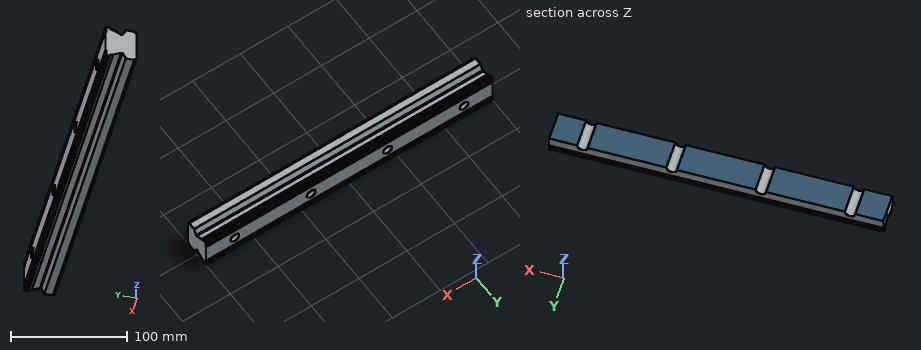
import cadquery as cq

length = 300.0
depth = 27.5
height = 34.0
half_depth = depth / 2
half_height = height / 2

front_chamfer = 2.0
back_chamfer_run = 1.8
back_chamfer_drop = 1.2

groove_start = 4.0
shoulder_inset = 7.0
shoulder_depth = 2.0
arc_mid_inset = 4.8
arc_mid_depth = 1.5
groove_floor_inset = 14.0
groove_floor_width = 1.0
groove_depth = 6.0
groove_end = 18.0

slot_offset = 2.0
slot_width = 3.5
slot_depth = 1.0

hole_count = 4
hole_diameter = 9.0
end_distance = 30.0
hole_pitch = (length - 2 * end_distance) / (hole_count - 1)


def at(inset, drop):
    """Section point, measured in from the back face and down from the top."""
    return (half_depth - inset, half_height - drop)


def make_rail():
    """Extrude the upper half section and mirror it about mid-height."""
    upper_half = (
        cq.Workplane("YZ", origin=(-length / 2, 0, 0))
        .moveTo(*at(0, half_height))
        .lineTo(*at(0, slot_offset + slot_width))
        .lineTo(*at(slot_depth, slot_offset + slot_width))
        .lineTo(*at(slot_depth, slot_offset))
        .lineTo(*at(0, slot_offset))
        .lineTo(*at(0, back_chamfer_drop))
        .lineTo(*at(back_chamfer_run, 0))
        .lineTo(*at(groove_start, 0))
        .threePointArc(at(arc_mid_inset, arc_mid_depth), at(shoulder_inset, shoulder_depth))
        .lineTo(*at(groove_floor_inset, groove_depth))
        .lineTo(*at(groove_floor_inset + groove_floor_width, groove_depth))
        .lineTo(*at(groove_end, 0))
        .lineTo(*at(depth - front_chamfer, 0))
        .lineTo(*at(depth, front_chamfer))
        .lineTo(*at(depth, half_height))
        .close()
        .extrude(length)
    )
    return upper_half.union(upper_half.mirror("XY")).clean()


def make_holes():
    """Row of plain through holes running from front to back."""
    return (
        cq.Workplane("XZ", origin=(0, half_depth, 0))
        .rarray(hole_pitch, 3, hole_count, 1)
        .circle(hole_diameter / 2)
        .extrude(depth)
    )


result = make_rail().cut(make_holes())